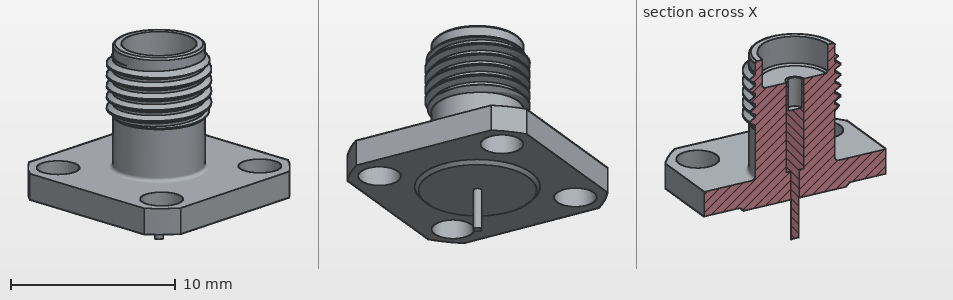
import cadquery as cq
import math

flange_side = 12.7
flange_thickness = 1.68
flange_corner_radius = 7.95
hole_offset = 4.33
hole_diameter = 2.6

boss_height = 0.24
boss_radius = 3.81
boss_end_radius = boss_radius - 0.23

barrel_radius = 2.81
barrel_top = 9.56
barrel_root_fillet = 0.24
barrel_rim_chamfer = 0.13

socket_radius = 2.29
socket_depth = 1.9
socket_floor_bevel = 0.13
socket_floor = barrel_top - socket_depth

thread_radius = 3.19
thread_pitch = 0.706
thread_half_angle = math.radians(30)
thread_crest_width = 0.09
thread_bottom = 5.0
thread_top = 8.83
thread_crest_at_plus_x = 5.74
thread_root_sink = 0.05

contact_radius = 0.6
contact_bore_radius = 0.46
contact_bore_depth = 1.9
contact_head_bottom = flange_thickness
tail_radius = 0.27
tail_end = -2.88


def cylinder(radius, bottom, top):
    return cq.Workplane("XY").workplane(offset=bottom).circle(radius).extrude(top - bottom)


def make_flange():
    plate = cq.Workplane("XY").rect(flange_side, flange_side).extrude(flange_thickness)
    plate = plate.intersect(cylinder(flange_corner_radius, 0, flange_thickness))
    return (
        plate.faces(">Z").workplane()
        .rect(2 * hole_offset, 2 * hole_offset, forConstruction=True)
        .vertices()
        .hole(hole_diameter)
    )


def make_barrel_and_boss():
    fillet_middle = barrel_root_fillet * (1 - math.sqrt(0.5))
    profile = (
        cq.Workplane("XZ")
        .moveTo(0, -boss_height)
        .lineTo(boss_end_radius, -boss_height)
        .lineTo(boss_radius, 0)
        .lineTo(boss_radius, flange_thickness)
        .lineTo(barrel_radius + barrel_root_fillet, flange_thickness)
        .threePointArc(
            (barrel_radius + fillet_middle, flange_thickness + fillet_middle),
            (barrel_radius, flange_thickness + barrel_root_fillet),
        )
        .lineTo(barrel_radius, barrel_top - barrel_rim_chamfer)
        .lineTo(barrel_radius - barrel_rim_chamfer, barrel_top)
        .lineTo(0, barrel_top)
        .close()
    )
    return profile.revolve(360, (0, 0), (0, 1))


def make_thread():
    crest_start = thread_crest_at_plus_x - 2 * thread_pitch
    turns = math.ceil((thread_top - crest_start) / thread_pitch) + 1
    root_radius = barrel_radius - thread_root_sink
    crest_half = thread_crest_width / 2
    root_half = crest_half + (thread_radius - root_radius) * math.tan(thread_half_angle)
    path = cq.Wire.makeHelix(thread_pitch, turns * thread_pitch, root_radius, cq.Vector(0, 0, crest_start))
    ridge = (
        cq.Workplane("XZ")
        .polyline([
            (root_radius, crest_start - root_half),
            (thread_radius, crest_start - crest_half),
            (thread_radius, crest_start + crest_half),
            (root_radius, crest_start + root_half),
        ])
        .close()
        .sweep(path, isFrenet=True)
    )
    bevel = thread_radius - barrel_radius + thread_root_sink
    zone = cylinder(
        thread_radius + thread_root_sink, thread_bottom, thread_top
    ).faces("<Z or >Z").chamfer(bevel)
    return ridge.intersect(zone)


def make_socket():
    return cylinder(socket_radius, socket_floor, barrel_top).faces("<Z").chamfer(socket_floor_bevel)


def make_contact_blank():
    head = cylinder(contact_radius, contact_head_bottom, socket_floor)
    return head.union(cylinder(tail_radius, tail_end, contact_head_bottom))


def make_housing():
    body = make_flange().union(make_barrel_and_boss()).union(make_thread())
    return body.cut(make_socket()).cut(make_contact_blank())


def make_contact():
    bore = cylinder(contact_bore_radius, socket_floor - contact_bore_depth, socket_floor)
    return make_contact_blank().cut(bore)


housing = make_housing()
contact = make_contact()

result = cq.Compound.makeCompound([housing.val(), contact.val()])